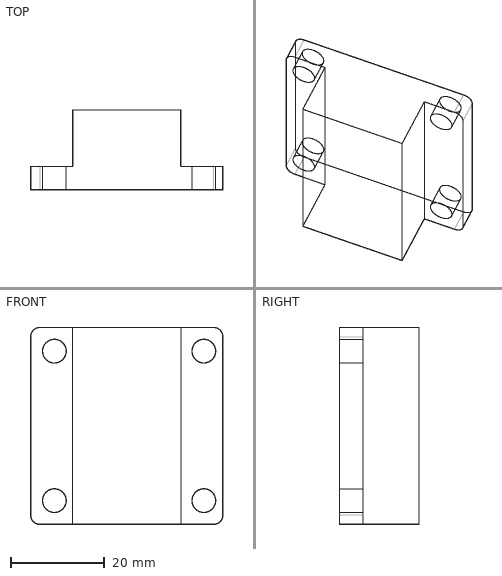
import cadquery as cq

plate_width = 41.0
height = 42.0
plate_thickness = 5.0
corner_radius = 2.0

total_depth = 17.0
block_width = 23.0

hole_diameter = 5.0
hole_edge_distance = 5.1
hole_spacing = height - 2 * hole_edge_distance
right_edge_distance = 4.07
hole_pattern_x = plate_width / 2 - right_edge_distance - hole_spacing / 2


def make_plate():
    """Plate with rounded corners and its front face on Y = 0."""
    plate = cq.Workplane("XY").box(
        plate_width, plate_thickness, height, centered=(True, False, True)
    )
    return plate.edges("|Y").fillet(corner_radius)


def make_block():
    """Plain block from the back of the plate to the full depth."""
    block_depth = total_depth - plate_thickness
    block = cq.Workplane("XY").box(
        block_width, block_depth, height, centered=(True, False, True)
    )
    return block.translate((0, plate_thickness, 0))


def make_holes():
    """Cylinders along +Y that cut the four through holes."""
    return (
        cq.Workplane("XZ")
        .center(hole_pattern_x, 0)
        .rarray(hole_spacing, hole_spacing, 2, 2)
        .circle(hole_diameter / 2)
        .extrude(-plate_thickness)
    )


result = make_plate().union(make_block()).cut(make_holes())